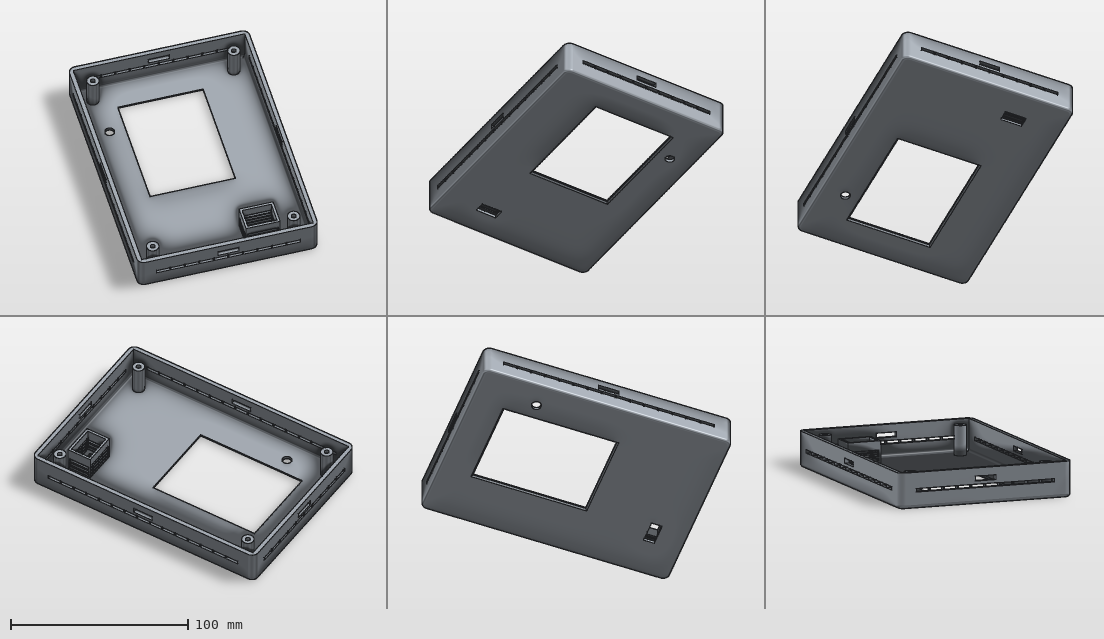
import cadquery as cq

length = 149.0
width = 105.5
height = 20.7
wall = 2.5
floor = 2.0
corner_radius = 4.0
bottom_fillet = floor
cavity_fillet = floor

slot_length = 7.9
slot_rib = 0.6
slot_height = 2.0
slot_pitch = slot_length + slot_rib
slots_along_x = 15
slots_along_y = 10
slot_z = height / 2

port_width = 12.4
port_height = 2.8
port_z = 14.6

post_diameter = 7.0
post_hole_diameter = 2.7
post_spacing_x = 125.9
post_spacing_y = 82.5
post_top = 19.2

display_length = 68.0
display_width = 49.9
display_x = -20.4
display_y = -4.0
display_bevel = 0.9
bevel_angle = 45
button_diameter = 5.5
button_x = -38.3
button_y = -38.3

housing_length = 14.9
housing_width = 20.0
housing_wall = 1.5
housing_top = 16.4
housing_x = 55.0
housing_y = 23.5
switch_length = 6.4
switch_width = 12.8

housing_slot_height = 1.5
housing_slot_margin = 1.0
housing_slot_rise = 0.5
x_wall_slots = 4
x_wall_slot_pitch = 2.4
y_wall_slots = 3
y_wall_slot_pitch = 2.8


def block(size_x, size_y, size_z, center):
    return cq.Workplane("XY").box(size_x, size_y, size_z).translate(center)


def make_shell():
    body = (
        cq.Workplane("XY")
        .rect(length, width)
        .extrude(height)
        .edges("|Z")
        .fillet(corner_radius)
        .faces("<Z")
        .edges()
        .fillet(bottom_fillet)
    )
    cavity = (
        cq.Workplane("XY", origin=(0, 0, floor))
        .rect(length - 2 * wall, width - 2 * wall)
        .extrude(height)
        .faces("<Z")
        .edges()
        .fillet(cavity_fillet)
    )
    return body.cut(cavity)


def cut_wall_slots(part):
    for i in range(slots_along_x):
        x = (i - (slots_along_x - 1) / 2) * slot_pitch
        for side in (-1, 1):
            y = side * (width - wall) / 2
            part = part.cut(block(slot_length, 2 * wall, slot_height, (x, y, slot_z)))
    for i in range(slots_along_y):
        y = (i - (slots_along_y - 1) / 2) * slot_pitch
        for side in (-1, 1):
            x = side * (length - wall) / 2
            part = part.cut(block(2 * wall, slot_length, slot_height, (x, y, slot_z)))
    return part


def cut_ports(part):
    for side in (-1, 1):
        y = side * (width - wall) / 2
        x = side * (length - wall) / 2
        part = part.cut(block(port_width, 2 * wall, port_height, (0, y, port_z)))
        part = part.cut(block(2 * wall, port_width, port_height, (x, 0, port_z)))
    return part


def make_posts():
    return (
        cq.Workplane("XY", origin=(0, 0, floor))
        .rect(post_spacing_x, post_spacing_y, forConstruction=True)
        .vertices()
        .circle(post_diameter / 2)
        .circle(post_hole_diameter / 2)
        .extrude(post_top - floor)
    )


def make_housing():
    inner_length = housing_length - 2 * housing_wall
    inner_width = housing_width - 2 * housing_wall
    housing = (
        cq.Workplane("XY", origin=(housing_x, housing_y, floor))
        .rect(housing_length, housing_width)
        .rect(inner_length, inner_width)
        .extrude(housing_top - floor)
    )
    slot_x = housing_length - 2 * housing_slot_margin
    slot_y = housing_width - 2 * housing_slot_margin
    first_z = floor + housing_slot_rise + housing_slot_height / 2
    for side in (-1, 1):
        x = housing_x + side * (inner_length + housing_wall) / 2
        for i in range(x_wall_slots):
            z = first_z + i * x_wall_slot_pitch
            housing = housing.cut(block(housing_wall, slot_y, housing_slot_height, (x, housing_y, z)))
        y = housing_y + side * (inner_width + housing_wall) / 2
        for i in range(y_wall_slots):
            z = first_z + i * y_wall_slot_pitch
            housing = housing.cut(block(slot_x, housing_wall, housing_slot_height, (housing_x, y, z)))
    return housing


def cut_floor_openings(part):
    cut_depth = 2 * floor
    part = part.cut(block(display_length, display_width, cut_depth, (display_x, display_y, floor / 2)))
    bevel_length = display_length + 2 * display_bevel
    bevel_width = display_width + 2 * display_bevel
    bevel = (
        cq.Workplane("XY", origin=(display_x, display_y, 0))
        .rect(bevel_length, bevel_width)
        .extrude(display_bevel, taper=bevel_angle)
    )
    part = part.cut(bevel)
    part = part.cut(block(switch_length, switch_width, cut_depth, (housing_x, housing_y, floor / 2)))
    button = cq.Workplane("XY").center(button_x, button_y).circle(button_diameter / 2).extrude(cut_depth)
    return part.cut(button)


result = cut_ports(cut_wall_slots(make_shell()))
result = cut_floor_openings(result)
result = result.union(make_posts()).union(make_housing())